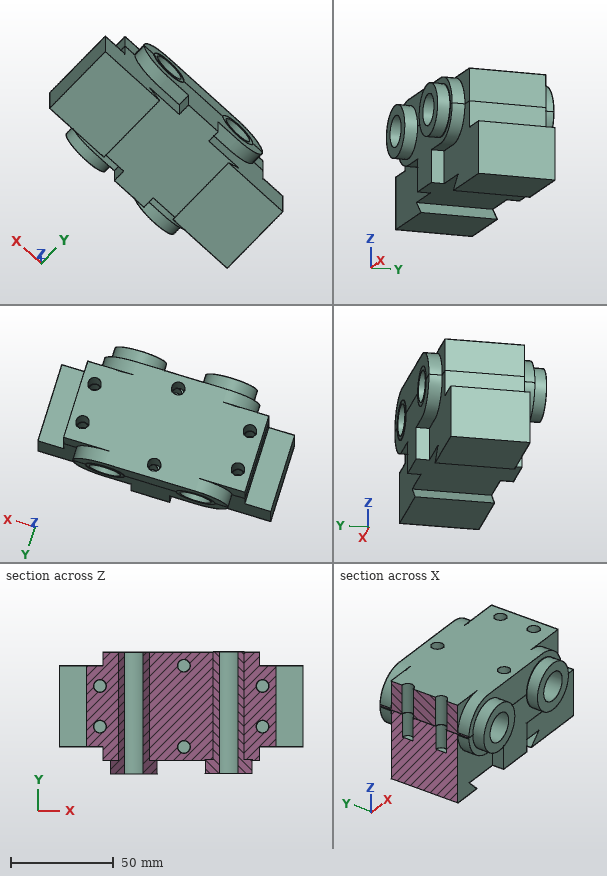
import cadquery as cq

unit = 6.58
seat_offset = 0.27

base_length = 18 * unit
base_shoulder_height = 4 * unit
block_length = 14 * unit
block_depth = 6 * unit
block_height = 8.5 * unit
split_height = 6 * unit

dovetail_depth = unit
dovetail_mouth = 7 * unit
dovetail_top = 9 * unit

flange_thickness = unit
flange_radius = block_height - split_height
bore_spacing = 7 * unit
leg_width = 3 * unit
overall_depth = block_depth + 2 * flange_thickness

bore_radius = 1.2 * unit
shank_radius = 1.5 * unit
collar_radius = 2 * unit
collar_thickness = unit

cover_hole_diameter = 6.4
base_hole_diameter = 6.0
base_hole_depth = 2 * unit
corner_hole_spacing_x = 12 * unit
corner_hole_spacing_y = 3 * unit
middle_hole_spacing = 6 * unit
middle_base_hole_shift = 1.3

bushing_places = [(-bore_spacing / 2, 0), (bore_spacing / 2, seat_offset)]


def cylinder_along_y(radius, x, y_start, y_end):
    """Solid cylinder at bore height running from y_start to y_end."""
    return (
        cq.Workplane("XZ", origin=(x, y_start, split_height))
        .circle(radius)
        .extrude(y_start - y_end)
    )


def box_between(length, depth, bottom, top):
    """Box centred on X and Y between two heights."""
    return (
        cq.Workplane("XY", origin=(0, 0, bottom))
        .rect(length, depth)
        .extrude(top - bottom)
    )


def make_bushing(x, y_shift):
    """Flanged bushing whose shank is as long as the flanged block is deep."""
    collar_back = y_shift - overall_depth / 2
    front = collar_back - collar_thickness
    back = y_shift + overall_depth / 2
    collar = cylinder_along_y(collar_radius, x, front, collar_back)
    shank = cylinder_along_y(shank_radius, x, front, back)
    bore = cylinder_along_y(bore_radius, x, front, back)
    return collar.union(shank).cut(bore)


def make_block():
    """Base and cover as one envelope, before the split."""
    body = box_between(base_length, block_depth, 0, base_shoulder_height)
    body = body.union(box_between(block_length, block_depth, base_shoulder_height, block_height))
    flange = box_between(bore_spacing, overall_depth, split_height - flange_radius, block_height)
    leg = box_between(leg_width, overall_depth, dovetail_depth, split_height)
    body = body.union(flange).union(leg)
    for x, _ in bushing_places:
        body = body.union(cylinder_along_y(flange_radius, x, -overall_depth / 2, overall_depth / 2))
    dovetail = (
        cq.Workplane("XZ")
        .polyline([
            (-dovetail_mouth / 2, 0),
            (dovetail_mouth / 2, 0),
            (dovetail_top / 2, dovetail_depth),
            (-dovetail_top / 2, dovetail_depth),
        ])
        .close()
        .extrude(overall_depth / 2, both=True)
    )
    return body.cut(dovetail)


def screw_holes(diameter, bottom, top, middle_shift):
    """Four corner holes and two middle holes between two heights."""
    plane = cq.Workplane("XY", origin=(0, 0, bottom))
    corners = (
        plane.rect(corner_hole_spacing_x, corner_hole_spacing_y, forConstruction=True)
        .vertices()
        .circle(diameter / 2)
        .extrude(top - bottom)
    )
    middles = (
        plane.pushPoints([(middle_shift, y * middle_hole_spacing / 2) for y in (-1, 1)])
        .circle(diameter / 2)
        .extrude(top - bottom)
    )
    return corners.union(middles)


bushings = [make_bushing(x, y_shift) for x, y_shift in bushing_places]

block = make_block()
for x, y_shift in bushing_places:
    block = block.cut(cylinder_along_y(shank_radius, x, -overall_depth / 2, overall_depth / 2))
    if y_shift:
        block = block.cut(
            cylinder_along_y(collar_radius, x, -overall_depth / 2, y_shift - overall_depth / 2)
        )

base = block.intersect(box_between(base_length, overall_depth, 0, split_height))
base = base.cut(
    screw_holes(
        base_hole_diameter,
        split_height - base_hole_depth,
        split_height,
        middle_base_hole_shift,
    )
)

cover = block.intersect(box_between(base_length, overall_depth, split_height, block_height))
cover = cover.cut(screw_holes(cover_hole_diameter, split_height, block_height, 0))

result = cq.Compound.makeCompound([
    base.val(),
    cover.val(),
    *[bushing.val() for bushing in bushings],
])